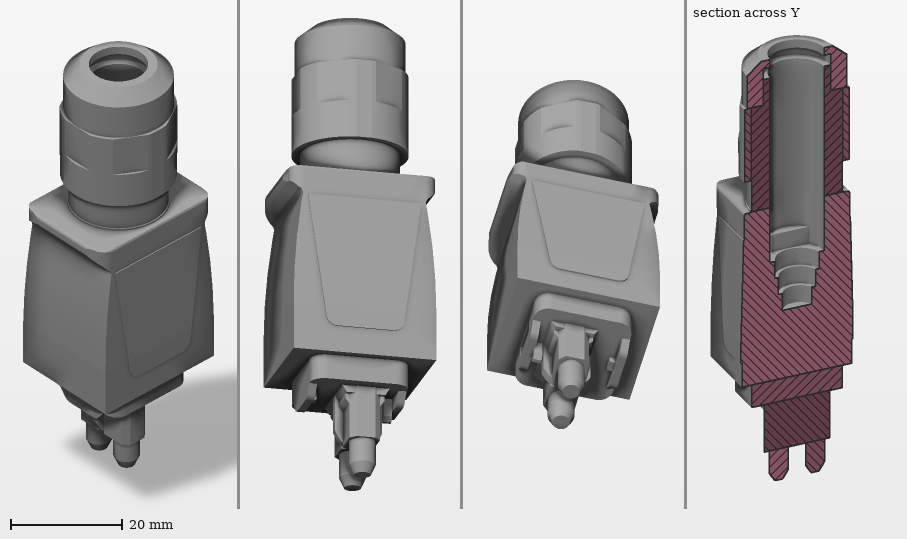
import cadquery as cq
import math

TOP_Z = 85.9
CAP_EDGE_Z = 83.5
CAP_BASE_Z = 76.8
NUT_BASE_Z = 62.0
HOOD_TOP_Z = 55.7
HOOD_BASE_Z = 20.45
INSERT_BASE_Z = 15.9
CARRIER_BASE_Z = 6.3

BORE_R = 5.3
CAP_R = 10.0
CAP_TIP_R = 7.05
CAP_LIP = 1.6
SPIGOT_R = 6.7
SPIGOT_TOP_Z = 82.1
NUT_R = 10.6
NUT_FLATS = 6
NUT_FLAT_DISTANCE = 10.05
NUT_FLAT_HEIGHT = 7.8
NUT_STRIP_WIDTH = 2.8
NECK_R = 9.0
COLLAR_R = 9.3
COLLAR_HEIGHT = 0.35

HOOD_HALF_X = 10.9
HEAD_HALF_X = 10.5
HOOD_HALF_Y = 13.2
HEAD_HALF_Y = 13.6
HEAD_CORNER_R = 2.3
LUG_HALF_Y = 14.0
LUG_FLAT_HALF_X = 6.35
BEND_Z = 29.55
SIDE_CURVE_R = 119.4
CURVE_END_Z = 48.3
HEAD_BASE_Z = 50.25
UNDERCUT_END_Y = 12.1
UNDERCUT_END_Z = 51.5
LUG_EDGE_Y = 13.7
LUG_EDGE_Z = 53.3
LUG_FLAT_BASE_Z = 53.95
LUG_ROUND_R = 0.7
HEAD_BEVEL_WIDTH = 0.2
HEAD_BEVEL_HEIGHT = 0.35

PANEL_HALF_X = 11.2
PANEL_TOP_HALF_X = 10.65
PANEL_BASE_Z = 25.3
PANEL_TOP_HALF_Y = 10.5
PANEL_BASE_HALF_Y = 7.0
PANEL_CORNER_R = 2.1

SHELF_Z = 48.1
SHELF_Y = 3.5
WELL_TOP_Z = 44.7
WELL_RADII = (4.55, 3.95, 3.2)
WELL_STEP = 3.4
WELL_Y = -1.4

INSERT_HALF = 9.0
INSERT_FLAT_HALF = 6.35
TAB_ROOT_HALF = 5.75
TAB_TIP_HALF = 3.9
TAB_CORNER_R = 1.7
TAB_THICKNESS = 1.5
TAB_DROP = 2.3
WINDOW_WIDTH = 6.1
WINDOW_HEIGHT = 2.7
WINDOW_BASE_Z = 16.3
WINDOW_DEPTH = 0.9
WINDOW_RIB_WIDTH = 1.9
WINDOW_RIB_SETBACK = 0.4
NOTCH_WIDTH = 0.9
NOTCH_HEIGHT = 1.1
KEY_WIDTH = 2.1
KEY_TIP_WIDTH = 0.7
KEY_THICKNESS = 1.55
KEY_BASE_Z = 11.7
KEY_TAPER = 0.95
STOP_THICKNESS = 1.1
STOP_BASE_Z = 14.6

PIN_Y = WELL_Y
PIN_SPACING = 7.2
PIN_R = 2.4
PIN_TIP_R = 1.55
PIN_TIP_HEIGHT = 1.9
CARRIER_HALF_X = 6.5
CARRIER_HALF_Y = 2.8
CARRIER_CHAMFER = 1.1
SLOT_WIDTH = 1.5
WEB_HALF_Y = 4.4
WEB_SLOPE_Z = 9.3
WEB_ROUND_Y = 3.95
WEB_ROUND_Z = 8.3
WEB_BASE_HALF_Y = 1.6
LEDGE_HALF_X = 5.4
LEDGE_HALF_Y = 3.6
LEDGE_BASE_Z = 12.7
LEDGE_FACE_Z = 13.75
SKIRT_HALF_X = 6.35
SKIRT_BASE_Z = 14.6


def cylinder(radius, z_low, z_high, y=0.0):
    return cq.Workplane("XY", origin=(0, y, z_low)).circle(radius).extrude(z_high - z_low)


def block(x_low, x_high, y_low, y_high, z_low, z_high):
    size = (x_high - x_low, y_high - y_low, z_high - z_low)
    return cq.Workplane("XY", origin=(x_low, y_low, z_low)).box(*size, centered=False)


def symmetric_outline(plane, half_points):
    """Closed outline from points on its positive side and their mirror images."""
    mirrored = [(-u, v) for u, v in reversed(half_points)]
    return cq.Workplane(plane).polyline(half_points + mirrored).close()


def extrude_both(outline, half_length):
    return outline.extrude(half_length, both=True)


def make_cap():
    cap = (
        cq.Workplane("XZ")
        .moveTo(0, CAP_BASE_Z)
        .lineTo(CAP_R, CAP_BASE_Z)
        .lineTo(CAP_R, CAP_EDGE_Z)
        .lineTo(CAP_TIP_R, TOP_Z)
        .lineTo(0, TOP_Z)
        .close()
        .revolve(360, (0, 0, 0), (0, 1, 0))
    )
    opening = cylinder(BORE_R, CAP_BASE_Z, TOP_Z)
    recess = cylinder(SPIGOT_R, CAP_BASE_Z, TOP_Z - CAP_LIP)
    return cap.cut(opening).cut(recess)


def make_nut():
    nut = cylinder(NUT_R, NUT_BASE_Z, CAP_BASE_Z).cut(cylinder(NECK_R, NUT_BASE_Z, CAP_BASE_Z))
    outside = block(NUT_FLAT_DISTANCE, 2 * NUT_R, -NUT_R, NUT_R, CAP_BASE_Z - NUT_FLAT_HEIGHT, CAP_BASE_Z)
    for i in range(NUT_FLATS):
        angle = 90 + i * 360 / NUT_FLATS
        nut = nut.cut(outside.rotate((0, 0, 0), (0, 0, 1), angle))
    strip_distance = math.sqrt(NUT_R**2 - (NUT_STRIP_WIDTH / 2) ** 2)
    return nut.intersect(block(-strip_distance, strip_distance, -NUT_R, NUT_R, NUT_BASE_Z, CAP_BASE_Z))


def make_neck():
    neck = cylinder(NECK_R, HOOD_TOP_Z, CAP_BASE_Z)
    collar = cylinder(COLLAR_R, HOOD_TOP_Z, HOOD_TOP_Z + COLLAR_HEIGHT)
    spigot = cylinder(SPIGOT_R, CAP_BASE_Z, SPIGOT_TOP_Z)
    return neck.union(collar).union(spigot).cut(cylinder(BORE_R, HOOD_TOP_Z, SPIGOT_TOP_Z))


def side_curve(z):
    """Half width in Y and its slope dY/dZ on the arc that starts tangent at BEND_Z."""
    rise = z - BEND_Z
    run = math.sqrt(SIDE_CURVE_R**2 - rise**2)
    return HOOD_HALF_Y - SIDE_CURVE_R + run, -rise / run


def hood_side_profile():
    """YZ profile with curved walls, undercut grips and a flat top, extruded along X."""
    mid_y, _ = side_curve((BEND_Z + CURVE_END_Z) / 2)
    mid_z = (BEND_Z + CURVE_END_Z) / 2
    end_y, end_slope = side_curve(CURVE_END_Z)
    neck_y = end_y + end_slope * (HEAD_BASE_Z - CURVE_END_Z)
    round_inset = LUG_ROUND_R * (1 - math.sqrt(0.5))
    half = (
        cq.Workplane("YZ")
        .moveTo(0, HOOD_BASE_Z)
        .lineTo(HOOD_HALF_Y, HOOD_BASE_Z)
        .lineTo(HOOD_HALF_Y, BEND_Z)
        .threePointArc((mid_y, mid_z), (end_y, CURVE_END_Z))
        .lineTo(neck_y, HEAD_BASE_Z)
        .tangentArcPoint((UNDERCUT_END_Y, UNDERCUT_END_Z), relative=False)
        .lineTo(LUG_EDGE_Y, LUG_EDGE_Z)
        .lineTo(LUG_HALF_Y, LUG_FLAT_BASE_Z)
        .lineTo(LUG_HALF_Y, HOOD_TOP_Z - LUG_ROUND_R)
        .threePointArc(
            (LUG_HALF_Y - round_inset, HOOD_TOP_Z - round_inset),
            (LUG_HALF_Y - LUG_ROUND_R, HOOD_TOP_Z),
        )
        .lineTo(0, HOOD_TOP_Z)
        .close()
    )
    half = extrude_both(half, PANEL_HALF_X)
    return half.union(half.mirror("XZ"))


def hood_front_profile():
    outline = symmetric_outline("XZ", [
        (HOOD_HALF_X, HOOD_BASE_Z),
        (HOOD_HALF_X, BEND_Z),
        (HEAD_HALF_X, HEAD_BASE_Z),
        (HEAD_HALF_X, HOOD_TOP_Z - HEAD_BEVEL_HEIGHT),
        (HEAD_HALF_X - HEAD_BEVEL_WIDTH, HOOD_TOP_Z),
    ])
    return extrude_both(outline, LUG_HALF_Y)


def hood_plan():
    """Full plan below the head; the head has round corners and a shallow bulge on each grip."""
    head_height = HOOD_TOP_Z - HEAD_BASE_Z
    head = (
        cq.Workplane("XY", origin=(0, 0, HEAD_BASE_Z))
        .rect(2 * HEAD_HALF_X, 2 * HEAD_HALF_Y)
        .extrude(head_height)
        .edges("|Z")
        .fillet(HEAD_CORNER_R)
    )
    bulge_base_x = HEAD_HALF_X - HEAD_CORNER_R
    bulge = symmetric_outline("XY", [
        (LUG_FLAT_HALF_X, -LUG_HALF_Y),
        (bulge_base_x, -HEAD_HALF_Y),
        (bulge_base_x, HEAD_HALF_Y),
        (LUG_FLAT_HALF_X, LUG_HALF_Y),
    ]).extrude(head_height).translate((0, 0, HEAD_BASE_Z))
    lower = block(-PANEL_HALF_X, PANEL_HALF_X, -HOOD_HALF_Y, HOOD_HALF_Y, HOOD_BASE_Z, HEAD_BASE_Z)
    return head.union(bulge).union(lower)


def hood_panels():
    """Tapered raised panels on both X sides."""
    shape = symmetric_outline("YZ", [
        (PANEL_BASE_HALF_Y, PANEL_BASE_Z),
        (PANEL_TOP_HALF_Y, HEAD_BASE_Z),
    ])
    shape = extrude_both(shape, PANEL_HALF_X).edges("|X and <Z").fillet(PANEL_CORNER_R)
    taper = symmetric_outline("XZ", [
        (PANEL_HALF_X, PANEL_BASE_Z),
        (PANEL_HALF_X, BEND_Z),
        (PANEL_TOP_HALF_X, HEAD_BASE_Z),
    ])
    return shape.intersect(extrude_both(taper, HOOD_HALF_Y))


def make_hood():
    hood = hood_side_profile().intersect(hood_front_profile()).intersect(hood_plan())
    hood = hood.union(hood_panels())
    return hood.cut(hood_bore())


def hood_bore():
    """Cable bore with a D-shaped lower part and an off-centre stepped well under it."""
    shelf = block(-BORE_R, BORE_R, SHELF_Y, BORE_R, WELL_TOP_Z, SHELF_Z)
    bore = cylinder(BORE_R, WELL_TOP_Z, HOOD_TOP_Z).cut(shelf)
    for i, radius in enumerate(WELL_RADII):
        step_top_z = WELL_TOP_Z - i * WELL_STEP
        step = cylinder(radius, step_top_z - WELL_STEP, step_top_z, WELL_Y)
        bore = bore.union(step.intersect(cylinder(BORE_R, step_top_z - WELL_STEP, step_top_z)))
    return bore


def make_insert():
    insert = block(-INSERT_HALF, INSERT_HALF, -INSERT_HALF, INSERT_HALF, INSERT_BASE_Z, HOOD_BASE_Z)
    insert = insert.edges("|Z").fillet(INSERT_HALF - INSERT_FLAT_HALF)
    tab = symmetric_outline("XZ", [
        (TAB_TIP_HALF, INSERT_BASE_Z - TAB_DROP),
        (TAB_ROOT_HALF, INSERT_BASE_Z),
    ]).extrude(TAB_THICKNESS).faces("<Z").edges("|Y").fillet(TAB_CORNER_R)
    tab_inner_y = INSERT_HALF - TAB_THICKNESS
    insert = insert.union(tab.translate((0, -tab_inner_y, 0)))
    insert = insert.union(tab.translate((0, INSERT_HALF, 0)))
    key = symmetric_outline("XZ", [
        (KEY_TIP_WIDTH / 2, KEY_BASE_Z),
        (KEY_WIDTH / 2, KEY_BASE_Z + KEY_TAPER),
        (KEY_WIDTH / 2, INSERT_BASE_Z),
    ]).extrude(KEY_THICKNESS)
    insert = insert.union(key.translate((0, KEY_THICKNESS - tab_inner_y, 0)))
    insert = insert.union(block(
        -KEY_WIDTH / 2, KEY_WIDTH / 2,
        tab_inner_y - STOP_THICKNESS, tab_inner_y,
        STOP_BASE_Z, INSERT_BASE_Z,
    ))
    return insert.cut(insert_window())


def insert_window():
    """Two shallow pockets in the -Y face with a sunken, notched rib between them."""
    back_y = WINDOW_DEPTH - INSERT_HALF
    pocket = block(
        -WINDOW_WIDTH / 2, WINDOW_WIDTH / 2, -INSERT_HALF, back_y,
        WINDOW_BASE_Z, WINDOW_BASE_Z + WINDOW_HEIGHT,
    )
    rib = block(
        -WINDOW_RIB_WIDTH / 2, WINDOW_RIB_WIDTH / 2, WINDOW_RIB_SETBACK - INSERT_HALF, back_y,
        WINDOW_BASE_Z, WINDOW_BASE_Z + WINDOW_HEIGHT,
    )
    notch = block(
        -NOTCH_WIDTH / 2, NOTCH_WIDTH / 2, -INSERT_HALF, back_y,
        WINDOW_BASE_Z, WINDOW_BASE_Z + NOTCH_HEIGHT,
    )
    return pocket.cut(rib).union(notch)


def make_carrier():
    height = INSERT_BASE_Z - CARRIER_BASE_Z
    carrier = (
        cq.Workplane("XY", origin=(0, 0, CARRIER_BASE_Z))
        .rect(2 * CARRIER_HALF_X, 2 * CARRIER_HALF_Y)
        .extrude(height)
        .edges("|Z")
        .chamfer(CARRIER_CHAMFER)
    )
    ledge = symmetric_outline("YZ", [
        (CARRIER_HALF_Y, LEDGE_BASE_Z),
        (LEDGE_HALF_Y, LEDGE_FACE_Z),
        (LEDGE_HALF_Y, INSERT_BASE_Z),
    ])
    carrier = carrier.union(extrude_both(ledge, LEDGE_HALF_X))
    skirt = symmetric_outline("YZ", [
        (LEDGE_HALF_Y, SKIRT_BASE_Z),
        (WEB_HALF_Y, INSERT_BASE_Z),
    ])
    carrier = carrier.union(extrude_both(skirt, SKIRT_HALF_X))
    slot = block(
        -SLOT_WIDTH / 2, SLOT_WIDTH / 2, -WEB_HALF_Y, WEB_HALF_Y, CARRIER_BASE_Z, INSERT_BASE_Z,
    )
    half_web = (
        cq.Workplane("YZ")
        .moveTo(0, INSERT_BASE_Z)
        .lineTo(WEB_HALF_Y, INSERT_BASE_Z)
        .lineTo(WEB_HALF_Y, WEB_SLOPE_Z)
        .lineTo(WEB_ROUND_Y, WEB_ROUND_Z)
        .tangentArcPoint((WEB_BASE_HALF_Y, CARRIER_BASE_Z), relative=False)
        .lineTo(0, CARRIER_BASE_Z)
        .close()
    )
    half_web = extrude_both(half_web, SLOT_WIDTH / 2)
    web = half_web.union(half_web.mirror("XZ"))
    return carrier.cut(slot).union(web).translate((0, PIN_Y, 0))


def make_pin(x):
    return (
        cq.Workplane("XY", origin=(x, PIN_Y, 0))
        .circle(PIN_R)
        .extrude(CARRIER_BASE_Z)
        .faces("<Z")
        .chamfer(PIN_TIP_HEIGHT, PIN_R - PIN_TIP_R)
    )


cap = make_cap()
nut = make_nut()
neck = make_neck()
hood = make_hood()
insert = make_insert()
carrier = make_carrier()
pins = [make_pin(side * PIN_SPACING / 2) for side in (-1, 1)]

result = cq.Compound.makeCompound([
    cap.val(),
    nut.val(),
    neck.val(),
    hood.val(),
    insert.val(),
    carrier.val(),
    *[pin.val() for pin in pins],
])